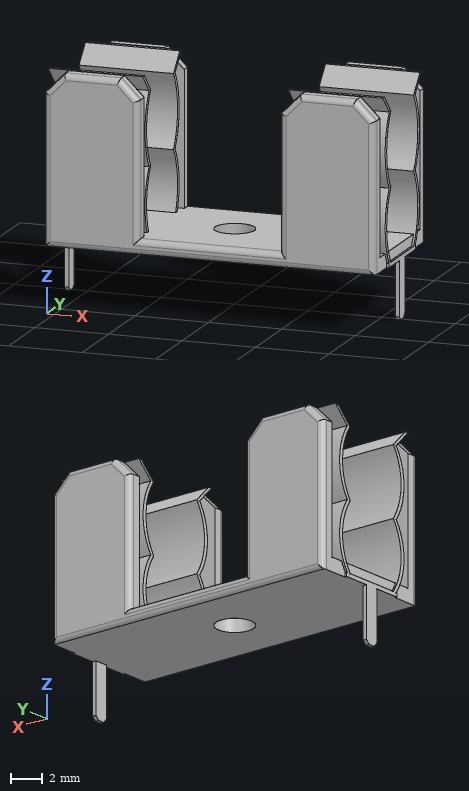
import cadquery as cq


total_length = 22.8
body_width = 9.6
total_height = 15.5
pin_length = 4.0
body_height = total_height - pin_length

body_length = 22.5
wall_thickness = 1.0
floor_thickness = 1.0
tower_length = 6.45
tower_chamfer = 1.32
outer_fillet = 0.4
underside_trim = 0.05
hole_diameter = 2.7

sheet_thickness = 0.3
clip_length = 6.45
clip_strip_half_width = 2.53
ridge_y = 2.17
bulge_y = 2.95
upper_ridge_z = 10.3
lower_ridge_z = 5.27

pin_width = 1.07
pin_tip_chamfer = 0.27


def make_body():
    """U-shaped channel whose walls are cut away between the end towers."""
    half_length = body_length / 2
    gap_half_length = half_length - tower_length
    half_outline = [
        (half_length, -underside_trim),
        (half_length, body_height - tower_chamfer),
        (half_length - tower_chamfer, body_height),
        (gap_half_length + tower_chamfer, body_height),
        (gap_half_length, body_height - tower_chamfer),
        (gap_half_length, floor_thickness),
    ]
    mirrored_outline = [(-x, z) for x, z in reversed(half_outline)]
    body = (
        cq.Workplane("XZ")
        .polyline(half_outline + mirrored_outline)
        .close()
        .extrude(body_width / 2, both=True)
    )
    body = body.faces("<Y or >Y").edges().fillet(outer_fillet)

    channel = cq.Workplane("XY").box(
        total_length, body_width - 2 * wall_thickness, body_height, centered=(True, True, False)
    ).translate((0, 0, floor_thickness))
    trim = cq.Workplane("XY").box(
        total_length, body_width, floor_thickness, centered=(True, True, False)
    ).translate((0, 0, -floor_thickness))
    hole = cq.Workplane("XY").circle(hole_diameter / 2).extrude(floor_thickness)
    return body.cut(channel).cut(trim).cut(hole)


def make_spring_arm():
    """One arm of the left clip, on the +Y side: two bulges and a flared lip."""
    ridge_back_y = ridge_y + sheet_thickness
    bulge_back_y = bulge_y + sheet_thickness
    upper_bulge_z = (upper_ridge_z + lower_ridge_z) / 2
    lower_bulge_z = (lower_ridge_z + sheet_thickness) / 2
    lip_rise = body_height - upper_ridge_z
    lip_tip_y = ridge_y + lip_rise
    lip_tip_back_y = lip_tip_y + sheet_thickness
    return (
        cq.Workplane("YZ", origin=(-total_length / 2, 0, 0))
        .moveTo(ridge_y, sheet_thickness)
        .threePointArc((bulge_y, lower_bulge_z), (ridge_y, lower_ridge_z))
        .threePointArc((bulge_y, upper_bulge_z), (ridge_y, upper_ridge_z))
        .lineTo(lip_tip_y, body_height)
        .lineTo(lip_tip_back_y, body_height)
        .lineTo(ridge_back_y, upper_ridge_z)
        .threePointArc((bulge_back_y, upper_bulge_z), (ridge_back_y, lower_ridge_z))
        .threePointArc((bulge_back_y, lower_bulge_z), (ridge_back_y, sheet_thickness))
        .close()
        .extrude(clip_length)
    )


def make_clip():
    """Left clip: base strip flush with the underside, two spring arms and a pin."""
    end_x = -total_length / 2
    strip = cq.Workplane("XY").box(
        clip_length, 2 * clip_strip_half_width, sheet_thickness, centered=(False, True, False)
    ).translate((end_x, 0, 0))
    pin = cq.Workplane("XY").box(
        sheet_thickness, pin_width, pin_length, centered=(False, True, False)
    ).translate((end_x, 0, -pin_length))
    pin = pin.faces("<Z").edges("|X").chamfer(pin_tip_chamfer)
    arm = make_spring_arm()
    return strip.union(pin).union(arm).union(arm.mirror("XZ"))


left_clip = make_clip()
right_clip = left_clip.mirror("YZ")
result = make_body().union(left_clip).union(right_clip)